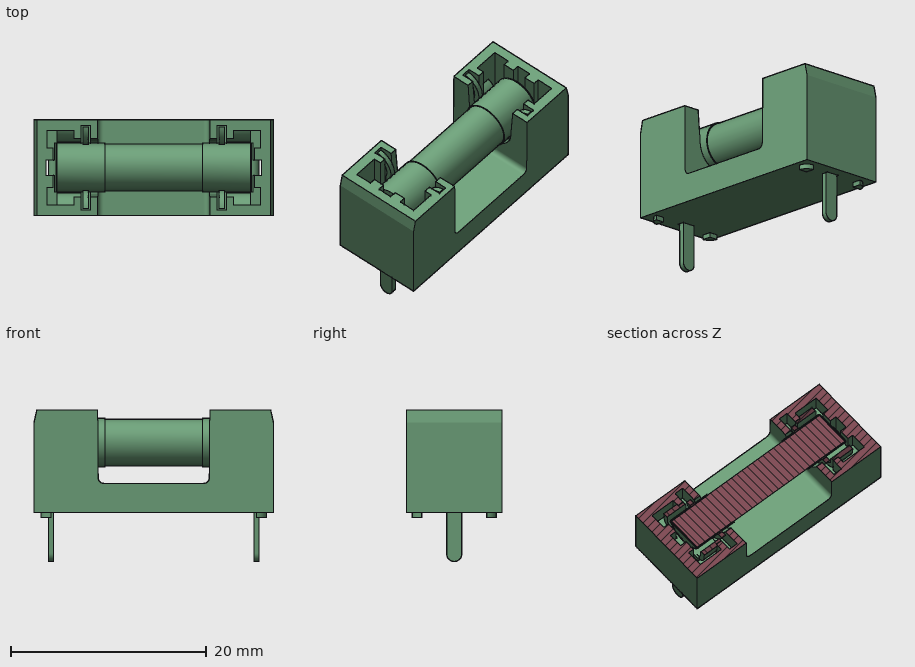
import cadquery as cq
import math


LENGTH = 24.5
WIDTH = 9.8
HEIGHT = 10.5
HALF_LENGTH = LENGTH / 2
END_CHAMFER_DEPTH = 0.3
END_CHAMFER_HEIGHT = 1.33

BAY_FLOOR_Z = 3.0
BAY_HALF_TOP = 5.73
BAY_HALF_BOTTOM = 5.66
BAY_CORNER_RADIUS = 0.55

FUSE_LENGTH = 20.0
CAP_DIAMETER = 5.0
TUBE_DIAMETER = 4.8
CAP_LENGTH = 5.0
CAP_WALL = (CAP_DIAMETER - TUBE_DIAMETER) / 2
CAP_EDGE_RADIUS = 0.15
CAP_RADIUS = CAP_DIAMETER / 2
FUSE_AXIS_Z = 7.15

SHEET = 0.55
STRIP_TOP_Z = FUSE_AXIS_Z - CAP_RADIUS
STRIP_BOTTOM_Z = STRIP_TOP_Z - SHEET
LEG_WIDTH = 1.56
LEG_OUTER_X = -10.77
LEG_INNER_X = LEG_OUTER_X + SHEET
LEG_BEND_RADIUS = 0.62
PLATE_START_X = LEG_OUTER_X + LEG_BEND_RADIUS
LEG_TIP_Z = -5.0
PLATE_HALF_WIDTH = 2.5
WING_START_X = -9.9
WING_END_X = -7.45
WING_INNER_Y = 2.6
WING_CORNER_RADIUS = 0.55
WING_FLARE_Z = 5.4
FLARE_RADIUS = 2.1
FINGER_WIDTH = 0.54
FINGER_CENTER_X = -6.96
FINGER_GRIP_ANGLE = math.radians(14.5)
FINGER_TIP_Y = 4.17

POCKET_FLOOR_Z = STRIP_BOTTOM_Z
POCKET_OUTER_X = -10.92
POCKET_INNER_X = -8.15
POCKET_HALF_WIDTH = 3.8
RIB_FACE_X = -10.28
RIB_OUTER_Y = 2.0
NOTCH_OUTER_X = -11.0
PASSAGE_HALF_WIDTH = 2.98
MOUTH_RADIUS = 2.75
SLOT_WIDTH = 0.98
SLOT_HALF_LENGTH = 4.31
SLOT_START_X = FINGER_CENTER_X - SLOT_WIDTH / 2
SLOT_END_X = FINGER_CENTER_X + SLOT_WIDTH / 2

FOOT_SIZE = 1.0
FOOT_HEIGHT = 0.5
FOOT_END_INSET = 0.73
FOOT_SIDE_INSET = 0.6
FOOT_OUTER_X = HALF_LENGTH - FOOT_END_INSET
FOOT_OUTER_Y = WIDTH / 2 - FOOT_SIDE_INSET


def block(x_range, half_width, z_range):
    """Box between two X and two Z places, centred on Y = 0."""
    size_x = x_range[1] - x_range[0]
    size_z = z_range[1] - z_range[0]
    corner = (x_range[0], -half_width, z_range[0])
    return cq.Workplane("XY").box(size_x, 2 * half_width, size_z, centered=False).translate(corner)


def x_rod(radius, start_x, length):
    """Cylinder on the fuse axis."""
    return (
        cq.Workplane("YZ", origin=(start_x, 0, FUSE_AXIS_Z))
        .circle(radius)
        .extrude(length)
    )


def both_ends(body):
    """The -X body and its mirror image at the +X end."""
    return [body, body.mirror("YZ")]


def make_pocket():
    """Space inside the -X tower that holds the clip and the fuse cap."""
    heights = (POCKET_FLOOR_Z, HEIGHT)
    wide = block((POCKET_OUTER_X, POCKET_INNER_X), POCKET_HALF_WIDTH, heights)
    rib_zone = block((POCKET_OUTER_X, RIB_FACE_X), RIB_OUTER_Y, heights)
    notch = block((NOTCH_OUTER_X, RIB_FACE_X), LEG_WIDTH / 2, heights)
    passage = block((POCKET_INNER_X, SLOT_START_X), PASSAGE_HALF_WIDTH, heights)
    slot = block((SLOT_START_X, SLOT_END_X), SLOT_HALF_LENGTH, heights)
    return wide.cut(rib_zone).union(notch).union(passage).union(slot)


def make_mouth():
    """Round-bottomed opening from the slot into the bay, widening upward to the passage width."""
    length = -BAY_HALF_BOTTOM - SLOT_END_X
    sides = (
        cq.Workplane("YZ", origin=(SLOT_END_X, 0, 0))
        .polyline([
            (-MOUTH_RADIUS, FUSE_AXIS_Z),
            (MOUTH_RADIUS, FUSE_AXIS_Z),
            (PASSAGE_HALF_WIDTH, HEIGHT),
            (-PASSAGE_HALF_WIDTH, HEIGHT),
        ])
        .close()
        .extrude(length)
    )
    return x_rod(MOUTH_RADIUS, SLOT_END_X, length).union(sides)


def make_feet():
    """Four standoff feet under the housing corners."""
    foot = (
        cq.Workplane("XY")
        .moveTo(FOOT_OUTER_X - FOOT_SIZE, FOOT_OUTER_Y - FOOT_SIZE)
        .line(FOOT_SIZE, 0)
        .radiusArc((FOOT_OUTER_X - FOOT_SIZE, FOOT_OUTER_Y), -FOOT_SIZE)
        .close()
        .extrude(-FOOT_HEIGHT)
    )
    feet = []
    for side in (foot, foot.mirror("XZ")):
        feet.extend(both_ends(side))
    return feet


def make_housing():
    chamfer_z = HEIGHT - END_CHAMFER_HEIGHT
    top_half_length = HALF_LENGTH - END_CHAMFER_DEPTH
    housing = (
        cq.Workplane("XZ")
        .polyline([
            (-HALF_LENGTH, 0),
            (HALF_LENGTH, 0),
            (HALF_LENGTH, chamfer_z),
            (top_half_length, HEIGHT),
            (-top_half_length, HEIGHT),
            (-HALF_LENGTH, chamfer_z),
        ])
        .close()
        .extrude(WIDTH / 2, both=True)
    )
    bay = (
        cq.Workplane("XZ")
        .polyline([
            (-BAY_HALF_BOTTOM, BAY_FLOOR_Z),
            (BAY_HALF_BOTTOM, BAY_FLOOR_Z),
            (BAY_HALF_TOP, HEIGHT),
            (-BAY_HALF_TOP, HEIGHT),
        ])
        .close()
        .extrude(WIDTH / 2, both=True)
        .edges("|Y and <Z")
        .fillet(BAY_CORNER_RADIUS)
    )
    housing = housing.cut(bay)

    leg_hole = block((NOTCH_OUTER_X, LEG_INNER_X), LEG_WIDTH / 2, (0, POCKET_FLOOR_Z))
    for cutter in (make_pocket(), make_mouth(), leg_hole):
        for copy in both_ends(cutter):
            housing = housing.cut(copy)
    for foot in make_feet():
        housing = housing.union(foot)
    return housing


def flare(center_y, center_z, start_angle, tip_y):
    """Lip profile that curls outward, from start_angle above -Y round to an upright tip at tip_y."""

    def arc_points(radius):
        end_angle = math.acos((center_y - tip_y) / radius)
        angles = (start_angle, (start_angle + end_angle) / 2, end_angle)
        return [(center_y - radius * math.cos(a), center_z + radius * math.sin(a)) for a in angles]

    upper_start, upper_middle, upper_end = arc_points(FLARE_RADIUS)
    lower_start, lower_middle, lower_end = arc_points(FLARE_RADIUS - SHEET)
    return (
        cq.Workplane("YZ")
        .moveTo(*upper_start)
        .threePointArc(upper_middle, upper_end)
        .lineTo(*lower_end)
        .threePointArc(lower_middle, lower_start)
        .close()
    )


def add_lips(cradle, lip):
    """Cradle joined with a lip on each side."""
    return cradle.union(lip).union(lip.mirror("XZ"))


def make_wings():
    """Wide U-shaped guide under the cap, with lips that flare to the pocket walls."""
    x_range = (WING_START_X, WING_END_X)
    outer_y = WING_INNER_Y + SHEET
    outside = block(x_range, outer_y, (STRIP_BOTTOM_Z, WING_FLARE_Z))
    inside = block(x_range, WING_INNER_Y, (STRIP_TOP_Z, WING_FLARE_Z))
    outside = outside.edges("|X and <Z").fillet(WING_CORNER_RADIUS + SHEET)
    inside = inside.edges("|X and <Z").fillet(WING_CORNER_RADIUS)
    lip = flare(WING_INNER_Y + FLARE_RADIUS, WING_FLARE_Z, 0, POCKET_HALF_WIDTH)
    lip = lip.extrude(WING_END_X - WING_START_X).translate((WING_START_X, 0, 0))
    return add_lips(outside.cut(inside), lip).intersect(make_pocket())


def make_finger():
    """Narrow spring band that wraps the cap past its widest point and flares at the tips."""
    start_x = FINGER_CENTER_X - FINGER_WIDTH / 2
    outer_radius = CAP_RADIUS + SHEET
    ring = x_rod(outer_radius, start_x, FINGER_WIDTH).cut(x_rod(CAP_RADIUS, start_x, FINGER_WIDTH))

    reach = 2 * outer_radius
    slope = math.tan(FINGER_GRIP_ANGLE)
    opening = (
        cq.Workplane("YZ", origin=(start_x, 0, FUSE_AXIS_Z))
        .polyline([
            (0, 0),
            (reach, reach * slope),
            (reach, reach),
            (-reach, reach),
            (-reach, reach * slope),
        ])
        .close()
        .extrude(FINGER_WIDTH)
    )

    center_distance = CAP_RADIUS + FLARE_RADIUS
    center_y = center_distance * math.cos(FINGER_GRIP_ANGLE)
    center_z = FUSE_AXIS_Z + center_distance * math.sin(FINGER_GRIP_ANGLE)
    lip = flare(center_y, center_z, -FINGER_GRIP_ANGLE, FINGER_TIP_Y)
    lip = lip.extrude(FINGER_WIDTH).translate((start_x, 0, 0))
    return add_lips(ring.cut(opening), lip)


def make_clip():
    """Spring clip of the -X tower, from the solder leg to the finger."""
    tip_radius = LEG_WIDTH / 2
    leg = (
        cq.Workplane("XZ")
        .moveTo(LEG_OUTER_X, LEG_TIP_Z + tip_radius)
        .lineTo(LEG_OUTER_X, STRIP_TOP_Z - LEG_BEND_RADIUS)
        .radiusArc((PLATE_START_X, STRIP_TOP_Z), LEG_BEND_RADIUS)
        .lineTo(PLATE_START_X, STRIP_BOTTOM_Z)
        .lineTo(LEG_INNER_X, STRIP_BOTTOM_Z)
        .lineTo(LEG_INNER_X, LEG_TIP_Z + tip_radius)
        .close()
        .extrude(tip_radius, both=True)
    )
    tip = (
        cq.Workplane("YZ", origin=(LEG_OUTER_X, 0, LEG_TIP_Z + tip_radius))
        .circle(tip_radius)
        .extrude(SHEET)
    )
    leg = leg.union(tip)
    strip_heights = (STRIP_BOTTOM_Z, STRIP_TOP_Z)
    plate = block((PLATE_START_X, WING_START_X), PLATE_HALF_WIDTH, strip_heights)
    strip = block((PLATE_START_X, FINGER_CENTER_X), LEG_WIDTH / 2, strip_heights)
    cap = x_rod(CAP_RADIUS, -FUSE_LENGTH / 2, CAP_LENGTH)
    clip = leg.union(plate).union(strip).union(make_wings()).union(make_finger())
    return clip.cut(cap)


def make_tube():
    length = FUSE_LENGTH - 2 * CAP_WALL
    return x_rod(TUBE_DIAMETER / 2, -length / 2, length)


def make_cap():
    """Thin cup over the -X end of the tube."""
    start_x = -FUSE_LENGTH / 2
    cap = x_rod(CAP_RADIUS, start_x, CAP_LENGTH)
    cap = cap.faces("<X").edges().fillet(CAP_EDGE_RADIUS)
    return cap.cut(make_tube())


housing = make_housing()
clips = both_ends(make_clip())
tube = make_tube()
caps = both_ends(make_cap())

result = cq.Compound.makeCompound([
    housing.val(),
    *[clip.val() for clip in clips],
    tube.val(),
    *[cap.val() for cap in caps],
])